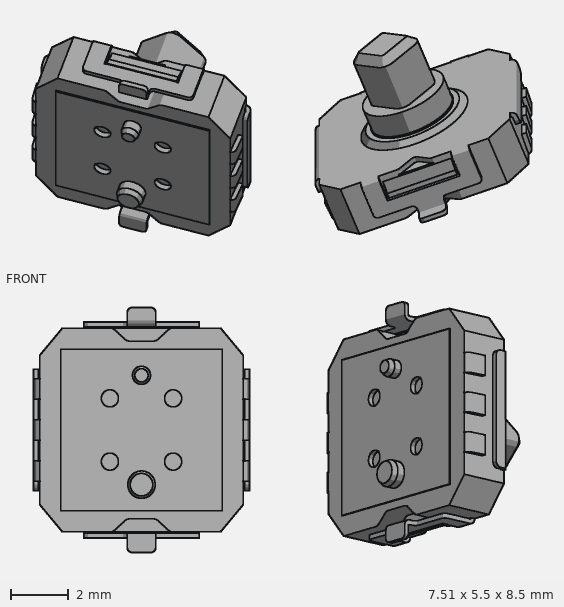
import cadquery as cq
import math

half_side = 3.54
corner_x = 0.79
corner_z = 0.95
rear_y = 1.9
pad_height = 0.05
pad_side = 5.59
front_y = pad_height

pin_length = 0.5
pin_offset = 1.895
pin_taper_length = 0.195
pin_taper_inset = 0.085
large_pin_radius = 0.48
small_pin_radius = 0.315
hole_radius = 0.3
hole_spacing = 2.19
hole_depth = 0.2

front_notch_half_width = 0.995
front_notch_floor = 0.51
front_notch_depth = 0.45
front_notch_fillet = 0.195
front_notch_length = 0.935
rear_notch_half_width = 0.59
rear_notch_fillet = 0.16
rear_notch_length = 0.195

dome_base_radius = 1.98
dome_top_radius = 1.74
dome_top_y = 2.1
neck_radius = 1.53
neck_top_y = 2.15
collar_radius = 1.505
collar_top_y = 3.0
stem_top_y = 5.0
stem_side = 1.9
stem_fillet = 0.39
stem_chamfer = 0.3

sheet = 0.17
bend_outer = 0.21
bend_inner = bend_outer - sheet
clip_inner = half_side + bend_inner
root_depth = 0.085

solder_clip_half_width = 2.01
solder_clip_front_y = 0.5
solder_clip_fillet = 0.15
tab_width = 0.995
tab_end = 4.25
tab_fillet = 0.17
window_half_width = 1.34
window_front_y = 1.0

latch_half_width = 1.27
latch_rear_y = 1.65
latch_ridge_y = 1.25
latch_front_y = 1.06
latch_height = 0.17

side_clip_half_width = 2.11
side_clip_front_y = 1.34
side_clip_fillet = 0.21

finger_width = 0.71
finger_pitch = 1.43
finger_tip_y = 0.85
finger_count = 3
finger_tilt = 3.5
finger_bend = 0.19
finger_tuck = 0.025

edge_search = 0.01


def along_y(y):
    """Workplane across Y at the given height; local Y is Z, extrudes to +Y."""
    return cq.Workplane(cq.Plane((0, y, 0), (-1, 0, 0), (0, 1, 0)))


def both_z(solid):
    """The solid together with its mirror image below the mid plane."""
    return solid.union(solid.mirror("XY"))


def both_x(solid):
    """The solid together with its mirror image across the mid plane."""
    return solid.union(solid.mirror("YZ"))


def edges_near(solid, direction, y, reach_x=tab_end):
    """Edges along one axis whose centre lies at a given Y, within reach_x of the mid plane."""
    low = (-reach_x, y - edge_search, -tab_end)
    high = (reach_x, y + edge_search, tab_end)
    return solid.edges(direction).edges(cq.selectors.BoxSelector(low, high))


def make_housing():
    straight_x = half_side - corner_x
    straight_z = half_side - corner_z
    outline = [
        (straight_x, half_side), (half_side, straight_z),
        (half_side, -straight_z), (straight_x, -half_side),
        (-straight_x, -half_side), (-half_side, -straight_z),
        (-half_side, straight_z), (-straight_x, half_side),
    ]
    block = along_y(front_y).polyline(outline).close().extrude(rear_y - front_y)
    pad = along_y(0).rect(pad_side, pad_side).extrude(front_y)
    return block.union(pad)


def make_pin(radius, z):
    profile = [
        (0, front_y), (radius, front_y),
        (radius, pin_taper_length - pin_length),
        (radius - pin_taper_inset, -pin_length), (0, -pin_length),
    ]
    pin = cq.Workplane("XY").polyline(profile).close().revolve(360, (0, 0), (0, 1))
    return pin.translate((0, 0, z))


def make_holes():
    return along_y(0).rarray(hole_spacing, hole_spacing, 2, 2).circle(hole_radius).extrude(hole_depth)


def cut_notches(housing, half_width, floor_half_width, depth, y_start, y_end, fillet):
    """Cut a notch into the upper and lower edges and round all its long corners."""
    floor_z = half_side - depth
    outline = [(-half_width, half_side), (half_width, half_side), (floor_half_width, floor_z)]
    if floor_half_width > 0:
        outline.append((-floor_half_width, floor_z))
    notch = along_y(y_start).polyline(outline).close().extrude(y_end - y_start)
    housing = housing.cut(both_z(notch))
    return edges_near(housing, "|Y", (y_start + y_end) / 2, half_width + edge_search).fillet(fillet)


def make_actuator():
    turned = (
        cq.Workplane("XY")
        .moveTo(0, rear_y)
        .lineTo(dome_base_radius, rear_y)
        .lineTo(dome_top_radius, dome_top_y)
        .lineTo(neck_radius, dome_top_y)
        .lineTo(neck_radius, neck_top_y)
        .lineTo(collar_radius, neck_top_y)
        .lineTo(collar_radius, collar_top_y)
        .lineTo(0, collar_top_y)
        .close()
        .revolve(360, (0, 0), (0, 1))
    )
    stem = (
        along_y(collar_top_y)
        .rect(stem_side, stem_side)
        .extrude(stem_top_y - collar_top_y)
        .edges("|Y").fillet(stem_fillet)
        .faces(">Y").chamfer(stem_chamfer)
        .rotate((0, 0, 0), (0, 1, 0), 45)
    )
    return turned.union(stem)


def bent_strip(origin, outward, normal, root, leg, width, bend=bend_outer):
    """L-shaped sheet strip of the given width, bent once with the given outer radius.

    The leg runs along normal x outward, starting from the origin. The root runs inward.
    """
    diagonal = math.sqrt(0.5)
    inner = bend - sheet
    inner_half = inner * diagonal
    outer_half = bend * diagonal
    return (
        cq.Workplane(cq.Plane(origin, outward, normal))
        .moveTo(-root, 0)
        .lineTo(0, 0)
        .threePointArc((outer_half, bend - outer_half), (bend, bend))
        .lineTo(bend, leg)
        .lineTo(inner, leg)
        .lineTo(inner, bend)
        .threePointArc((inner_half, bend - inner_half), (0, sheet))
        .lineTo(-root, sheet)
        .close()
        .extrude(width / 2, both=True)
    )


def make_solder_clip():
    """Clip over the upper side with a window and an outward soldering tab."""
    cover = bent_strip(
        (0, rear_y, half_side), (0, 0, 1), (1, 0, 0),
        root_depth, rear_y - solder_clip_front_y, 2 * solder_clip_half_width,
    )
    tab = bent_strip(
        (0, bend_outer, clip_inner), (0, -1, 0), (-1, 0, 0),
        solder_clip_front_y - sheet, tab_end - clip_inner, tab_width,
    )
    tab = tab.faces(">Z").edges("|Y").fillet(tab_fillet)
    clip = cover.union(tab)
    clip = edges_near(clip, "|Z", solder_clip_front_y).fillet(solder_clip_fillet)
    window_length = rear_y - window_front_y
    window = cq.Workplane("XY").box(
        2 * window_half_width, window_length, root_depth + bend_outer, centered=(True, False, False)
    ).translate((0, window_front_y, half_side - root_depth))
    return clip.cut(window)


def make_latch():
    """Snap wedge on the housing, standing in the window of the solder clip."""
    profile = [
        (latch_front_y, half_side - root_depth), (latch_rear_y, half_side - root_depth),
        (latch_rear_y, half_side), (latch_ridge_y, half_side + latch_height),
        (latch_front_y, half_side + latch_height),
    ]
    return cq.Workplane("YZ").polyline(profile).close().extrude(latch_half_width, both=True)


def make_side_clip():
    """Plain clip hooked over the +X side."""
    clip = bent_strip(
        (half_side, rear_y, 0), (1, 0, 0), (0, 0, -1),
        root_depth, rear_y - side_clip_front_y, 2 * side_clip_half_width,
    )
    return edges_near(clip, "|X", side_clip_front_y).fillet(side_clip_fillet)


def make_fingers():
    """Row of contact fingers rising from the front edge on the +X side."""
    finger = bent_strip(
        (half_side, front_y, 0), (1, 0, 0), (0, 0, 1),
        root_depth, finger_tip_y - front_y, finger_width, finger_bend,
    )
    finger = finger.rotate((half_side, front_y, 0), (half_side, front_y, 1), -finger_tilt)
    finger = finger.translate((-finger_tuck, 0, 0))
    first_z = -finger_pitch * (finger_count - 1) / 2
    row = finger.translate((0, 0, first_z))
    for index in range(1, finger_count):
        row = row.union(finger.translate((0, 0, first_z + index * finger_pitch)))
    return row


housing = make_housing()
housing = cut_notches(
    housing, front_notch_half_width, front_notch_floor, front_notch_depth,
    front_y, front_y + front_notch_length, front_notch_fillet,
)
housing = cut_notches(
    housing, rear_notch_half_width, 0, rear_notch_half_width,
    rear_y - rear_notch_length, rear_y, rear_notch_fillet,
)
housing = housing.cut(make_holes())

result = (
    housing
    .union(make_actuator())
    .union(make_pin(small_pin_radius, pin_offset))
    .union(make_pin(large_pin_radius, -pin_offset))
    .union(both_z(make_latch()))
    .union(both_z(make_solder_clip()))
    .union(both_x(make_side_clip()))
    .union(both_x(make_fingers()))
)